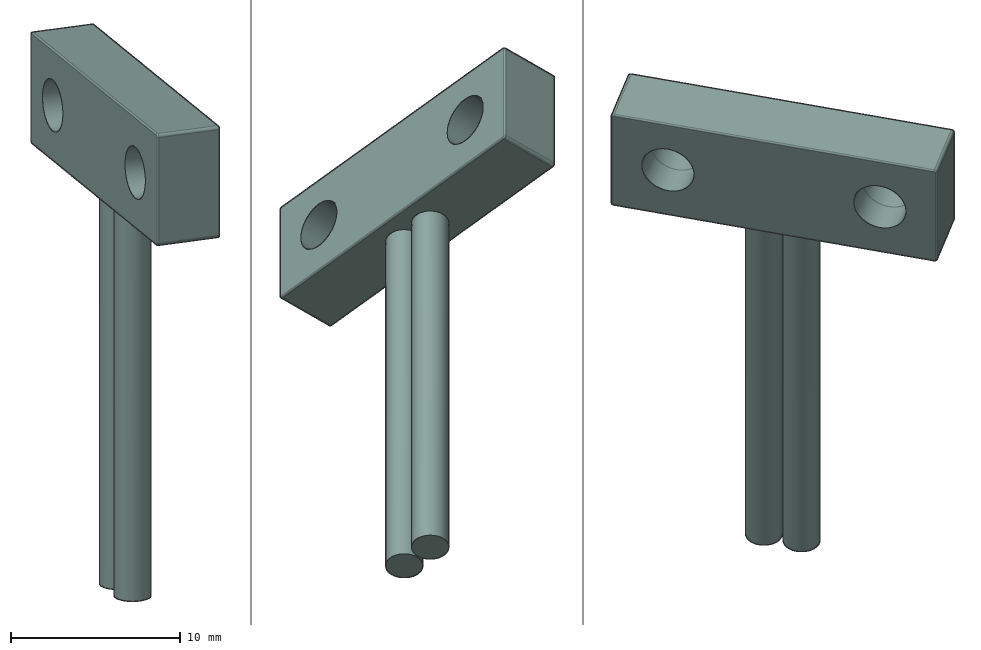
import cadquery as cq

total_height = 32
housing_length = 20.0
housing_depth = 4.0
housing_height = 7.0
corner_radius = 0.2
face_edge_radius = 0.1

hole_diameter = 3.2
hole_spacing = 13.0

lead_diameter = 2.2
lead_spacing = 2.3
lead_length = total_height - housing_height


def make_housing():
    """Block with rounded corners along Y and finer rounding around its two wide faces."""
    return (
        cq.Workplane("XY")
        .box(housing_length, housing_depth, housing_height)
        .edges("|Y")
        .fillet(corner_radius)
        .faces("<Y or >Y")
        .edges()
        .fillet(face_edge_radius)
    )


def make_mounting_holes():
    """Two cylinders that pass through the housing along Y."""
    return (
        cq.Workplane("XZ")
        .pushPoints([(-hole_spacing / 2, 0), (hole_spacing / 2, 0)])
        .circle(hole_diameter / 2)
        .extrude(housing_depth, both=True)
    )


def make_leads():
    """Two round leads side by side, hanging from the underside of the housing."""
    return (
        cq.Workplane("XY")
        .workplane(offset=-housing_height / 2)
        .pushPoints([(-lead_spacing / 2, 0), (lead_spacing / 2, 0)])
        .circle(lead_diameter / 2)
        .extrude(-lead_length)
    )


result = make_housing().cut(make_mounting_holes()).union(make_leads())